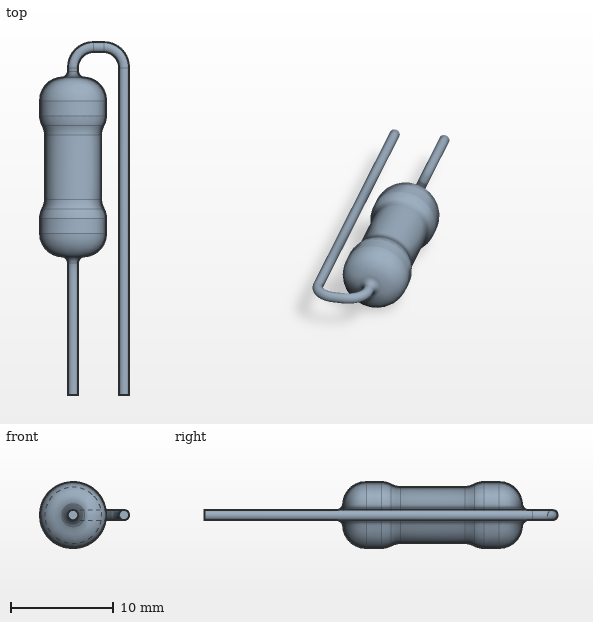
import cadquery as cq

overall_width = 8.75
overall_length = 34.6
wire_diameter = 1.0
wire_radius = wire_diameter / 2

body_length = 17.55
cap_radius = 6.5 / 2
waist_radius = 5.55 / 2
dome_depth = 2.3
cap_straight = 1.45
neck_length = 1.87
collar_radius = 0.62

bend_radius = 2.0
collar_gap = 0.35
lead_pitch = overall_width - cap_radius - wire_radius

body_end = body_length / 2
cap_edge = body_end - dome_depth
neck_outer = cap_edge - cap_straight
neck_middle = neck_outer - neck_length / 2
neck_inner = neck_outer - neck_length
collar_tip = body_end + collar_radius
bend_start = collar_tip + collar_gap
lead_top = bend_start + bend_radius
lead_end = lead_top + wire_radius - overall_length

collar_outer = wire_radius + collar_radius
neck_radius = (cap_radius + waist_radius) / 2

neck_arc_height = neck_radius - waist_radius
neck_arc_length = neck_length / 2
neck_arc_radius = (neck_arc_length**2 + neck_arc_height**2) / (2 * neck_arc_height)


def make_cap():
    """Revolve the rear end cap, from the edge of the waist to the tip of its concave collar."""
    return (
        cq.Workplane("XY")
        .moveTo(0, neck_inner)
        .lineTo(waist_radius, neck_inner)
        .radiusArc((neck_radius, neck_middle), neck_arc_radius)
        .tangentArcPoint((cap_radius, neck_outer), relative=False)
        .lineTo(cap_radius, cap_edge)
        .tangentArcPoint((collar_outer, body_end), relative=False)
        .radiusArc((wire_radius, collar_tip), collar_radius)
        .lineTo(0, collar_tip)
        .close()
        .revolve(360, (0, 0, 0), (0, 1, 0))
    )


def make_body():
    """Join a plain cylindrical waist to two identical end caps."""
    waist = cq.Workplane("XZ", origin=(0, neck_inner, 0)).circle(waist_radius).extrude(2 * neck_inner)
    cap = make_cap()
    return waist.union(cap).union(cap.mirror("XZ"))


def make_wire():
    """Sweep the wire from the front tip, through the body, around both bends and back."""
    path = (
        cq.Workplane("XY")
        .moveTo(0, lead_end)
        .lineTo(0, bend_start)
        .tangentArcPoint((bend_radius, lead_top), relative=False)
        .lineTo(lead_pitch - bend_radius, lead_top)
        .tangentArcPoint((lead_pitch, bend_start), relative=False)
        .lineTo(lead_pitch, lead_end)
    )
    section = cq.Workplane("XZ", origin=(0, lead_end, 0)).circle(wire_radius)
    return section.sweep(path)


result = make_body().union(make_wire())